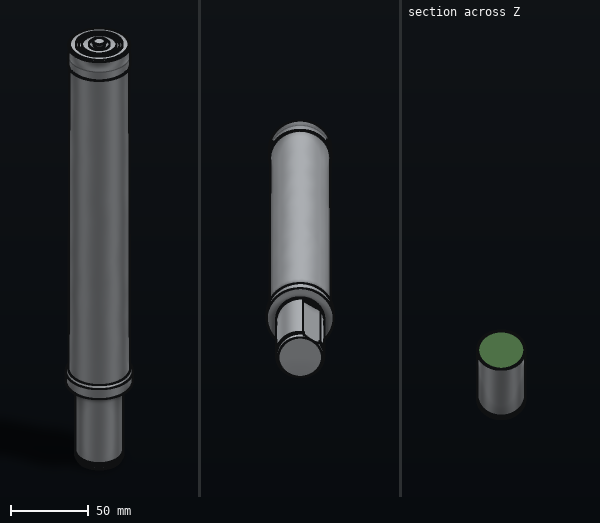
import cadquery as cq
import math

total_height = 319.5

spigot_radius = 31.0 / 2
spigot_end_radius = 14.0
spigot_chamfer_height = 3.0
spigot_groove_bottom = 3.8
spigot_groove_top = 5.5
spigot_groove_depth = 0.3
spigot_top = 56.5
neck_radius = 15.0
flat_offset = 14.0
flat_top = 53.0

collar_radius = 43.0 / 2
collar_bottom = 58.5
collar_edge_height = 66.0
collar_top = 68.0

barrel_bottom_radius = 39.5 / 2
barrel_top_radius = 38.7 / 2
barrel_top = 300.7

cap_radius = 40.0 / 2
cap_waist_radius = 39.0 / 2
cap_band_top = 307.5
cap_waist_height = 311.0
cap_edge_height = 315.0
cap_top = 316.0
cap_face_radius = 19.0

groove_outer_radius = 15.0
groove_step_radius = 13.0
groove_inner_radius = 11.2
groove_outer_depth = 1.3
groove_inner_depth = 0.3

recess_radius = 6.7
recess_depth = 0.3
button_stem_radius = 3.8
button_head_radius = 4.5
button_head_height = 318.3


def make_body():
    """Revolve the spigot, collar, barrel and cap as one stepped profile."""
    spigot_groove_radius = spigot_radius - spigot_groove_depth
    profile = (
        cq.Workplane("XZ")
        .lineTo(spigot_end_radius, 0)
        .lineTo(spigot_radius, spigot_chamfer_height)
        .lineTo(spigot_radius, spigot_groove_bottom)
        .lineTo(spigot_groove_radius, spigot_groove_bottom)
        .lineTo(spigot_groove_radius, spigot_groove_top)
        .lineTo(spigot_radius, spigot_groove_top)
        .lineTo(spigot_radius, spigot_top)
        .lineTo(neck_radius, spigot_top)
        .lineTo(neck_radius, collar_bottom)
        .lineTo(collar_radius, collar_bottom)
        .lineTo(collar_radius, collar_edge_height)
        .lineTo(barrel_bottom_radius, collar_top)
        .lineTo(barrel_top_radius, barrel_top)
        .lineTo(cap_radius, barrel_top)
        .lineTo(cap_radius, cap_band_top)
        .threePointArc((cap_waist_radius, cap_waist_height), (cap_radius, cap_edge_height))
        .lineTo(cap_face_radius, cap_top)
        .lineTo(0, cap_top)
        .close()
    )
    return profile.revolve(360, (0, 0), (0, 1))


def make_flat_cutter():
    """Block that removes the +Y side of the spigot below flat_top."""
    size = 2 * spigot_radius
    block = cq.Workplane("XY").box(size, size, flat_top, centered=(True, False, False))
    return block.translate((0, flat_offset, 0))


def make_top_cutter(outer_radius, depth, inner_radius=0):
    """Disc, or ring when inner_radius is given, reaching down from the cap top."""
    cutter = cq.Workplane("XY", origin=(0, 0, cap_top - depth)).circle(outer_radius)
    if inner_radius:
        cutter = cutter.circle(inner_radius)
    return cutter.extrude(depth)


def make_button():
    """Domed head on a slightly narrower stem, starting at the recess floor."""
    recess_floor = cap_top - recess_depth
    dome_height = total_height - button_head_height
    dome_radius = (button_head_radius**2 + dome_height**2) / (2 * dome_height)
    middle_radius = button_head_radius / 2
    middle_height = total_height - dome_radius + math.sqrt(dome_radius**2 - middle_radius**2)
    profile = (
        cq.Workplane("XZ")
        .moveTo(0, recess_floor)
        .lineTo(button_stem_radius, recess_floor)
        .lineTo(button_stem_radius, button_head_height)
        .lineTo(button_head_radius, button_head_height)
        .threePointArc((middle_radius, middle_height), (0, total_height))
        .close()
    )
    return profile.revolve(360, (0, 0), (0, 1))


result = (
    make_body()
    .cut(make_flat_cutter())
    .cut(make_top_cutter(groove_outer_radius, groove_outer_depth, groove_step_radius))
    .cut(make_top_cutter(groove_step_radius, groove_inner_depth, groove_inner_radius))
    .cut(make_top_cutter(recess_radius, recess_depth))
    .union(make_button())
)